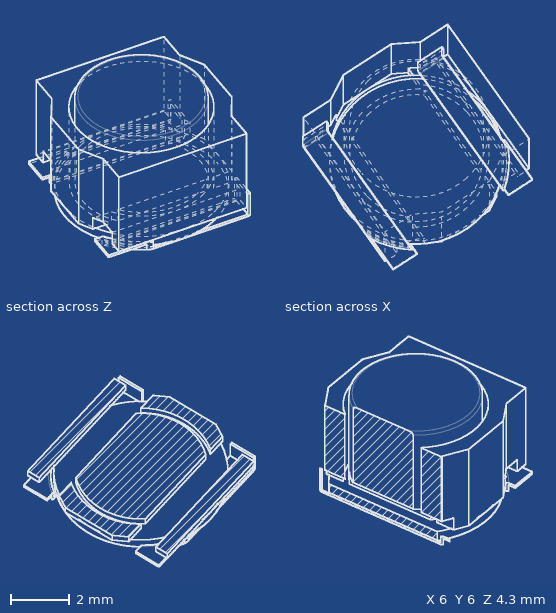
import cadquery as cq
import math

metal = 0.1
base_bottom = metal
base_top = 0.5
housing_top = 3.8
core_top = 4.3

width = 6.0
block_depth = 5.0
bulge_depth = 6.0
bulge_flat = 2.0
bulge_angle = 30

base_diameter = 6.0
core_diameter = 4.6
core_edge_radius = 0.1
bore_diameter = 5.0

passage_width = 1.0
passage_height = 0.5
passage_center_x = 2.0

lead_width = 1.0
lead_center_x = 2.4
rear_face_y = 2.7
rear_tab_top = base_top + passage_height
front_end_y = -2.85
step_inner_radius = 3.1
step_outer_radius = step_inner_radius + metal
foot_top = 0.4
foot_bottom = foot_top - metal


def cylinder(diameter, bottom, top):
    return cq.Workplane("XY").workplane(offset=bottom).circle(diameter / 2).extrude(top - bottom)


def box_between(x_range, y_range, z_range):
    sizes = [high - low for low, high in (x_range, y_range, z_range)]
    corner = (x_range[0], y_range[0], z_range[0])
    return cq.Workplane("XY").box(*sizes, centered=False).translate(corner)


def make_housing_block():
    """Rectangular block joined to an eight-sided prism whose ends bulge out front and back."""
    half_flat = bulge_flat / 2
    bulge_reach = (bulge_depth - block_depth) / 2
    half_foot = half_flat + bulge_reach / math.tan(math.radians(bulge_angle))
    block = cq.Workplane("XY").workplane(offset=base_top).rect(width, block_depth)
    block = block.extrude(housing_top - base_top)
    bulges = (
        cq.Workplane("XY").workplane(offset=base_top)
        .moveTo(-half_foot, -block_depth / 2)
        .lineTo(-half_flat, -bulge_depth / 2)
        .lineTo(half_flat, -bulge_depth / 2)
        .lineTo(half_foot, -block_depth / 2)
        .lineTo(half_foot, block_depth / 2)
        .lineTo(half_flat, bulge_depth / 2)
        .lineTo(-half_flat, bulge_depth / 2)
        .lineTo(-half_foot, block_depth / 2)
        .close()
        .extrude(housing_top - base_top)
    )
    return block.union(bulges)


def make_body():
    """Bored housing and core, joined by the base disc below them."""
    core = cylinder(core_diameter, base_top, core_top).faces(">Z").edges().fillet(core_edge_radius)
    body = make_housing_block().cut(cylinder(bore_diameter, base_top, housing_top)).union(core)
    for side in (-1, 1):
        passage = (
            cq.Workplane("XY")
            .box(passage_width, bulge_depth, passage_height, centered=(True, True, False))
            .translate((side * passage_center_x, 0, base_top))
        )
        body = body.cut(passage)
    return body.union(cylinder(base_diameter, base_bottom, base_top))


def make_stepped_pan():
    """Pan of sheet metal: flat floor, curved step up, flat rim; both bends rounded outside."""
    rim_radius = math.hypot(lead_center_x + lead_width / 2, front_end_y) + metal
    bend = metal * math.sqrt(0.5)
    return (
        cq.Workplane("XZ")
        .moveTo(0, 0)
        .lineTo(step_inner_radius, 0)
        .threePointArc((step_inner_radius + bend, metal - bend), (step_outer_radius, metal))
        .lineTo(step_outer_radius, foot_bottom)
        .lineTo(rim_radius, foot_bottom)
        .lineTo(rim_radius, foot_top)
        .lineTo(step_outer_radius, foot_top)
        .threePointArc((step_outer_radius - bend, foot_bottom + bend), (step_inner_radius, foot_bottom))
        .lineTo(step_inner_radius, metal)
        .lineTo(0, metal)
        .close()
        .revolve(360, (0, 0, 0), (0, 1, 0))
    )


def make_lead(side):
    """Strip under the base with a stepped foot in front and an upright tab behind."""
    x_range = (side * lead_center_x - lead_width / 2, side * lead_center_x + lead_width / 2)
    front = make_stepped_pan().intersect(box_between(x_range, (front_end_y, 0), (0, foot_top)))
    strip = box_between(x_range, (0, rear_face_y), (0, metal))
    rear_tab = box_between(x_range, (rear_face_y - metal, rear_face_y), (0, rear_tab_top))
    rear = strip.union(rear_tab).edges("|X and >Y and <Z").fillet(metal)
    return front.union(rear)


body = make_body()
leads = [make_lead(side) for side in (-1, 1)]
result = cq.Compound.makeCompound([body.val(), *[lead.val() for lead in leads]])